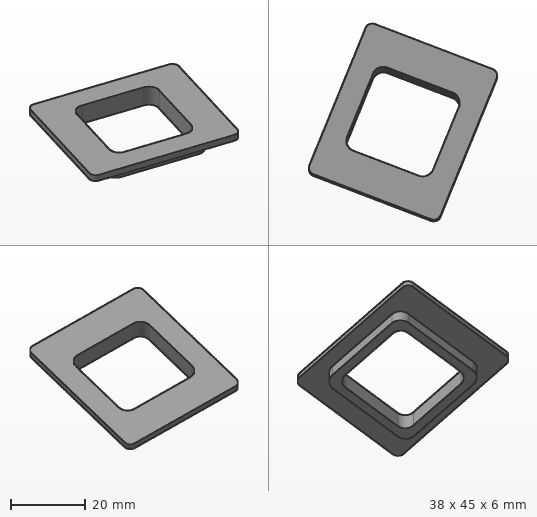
import cadquery as cq

plate_width = 38.0
plate_length = 45.0
plate_thickness = 2.0
plate_corner_radius = 2.0

total_height = 6.0
collar_side = 30.0
collar_corner_radius = 3.25
collar_height = total_height - plate_thickness

opening_side = 24.9
opening_corner_radius = 3.0


def rounded_block(width, length, height, corner_radius):
    """Block centred on the Z axis, standing on Z = 0, with rounded upright edges."""
    block = cq.Workplane("XY").box(width, length, height, centered=(True, True, False))
    return block.edges("|Z").fillet(corner_radius)


collar = rounded_block(collar_side, collar_side, collar_height, collar_corner_radius)
plate = rounded_block(plate_width, plate_length, plate_thickness, plate_corner_radius)
opening = rounded_block(opening_side, opening_side, total_height, opening_corner_radius)

result = collar.union(plate.translate((0, 0, collar_height))).cut(opening)